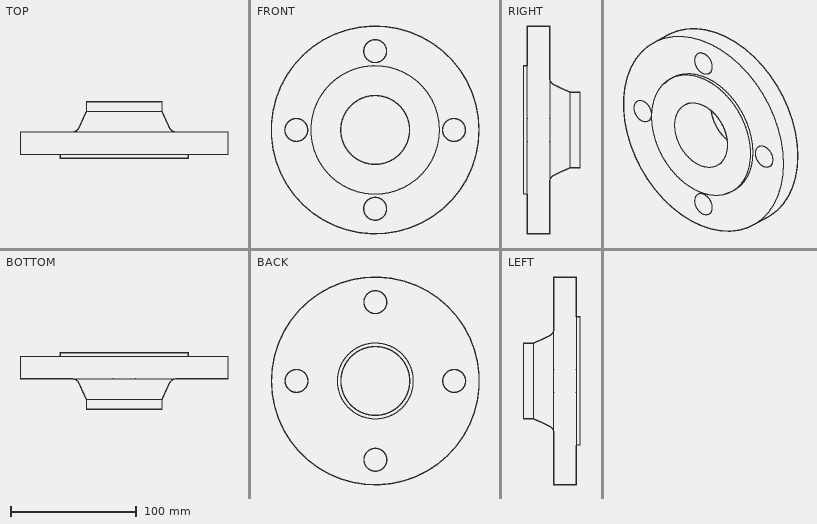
import cadquery as cq

flange_diameter = 165.0
flange_thickness = 18.0
total_length = 45.0
face_diameter = 102.0
face_height = 3.0
bore_diameter = 54.5
neck_diameter = 60.2
neck_length = 8.0
hub_base_diameter = 75.0
hub_fillet_radius = 6.0
bolt_hole_diameter = 18.0
bolt_circle_diameter = 125.0
bolt_count = 4

flange_back = face_height + flange_thickness
neck_start = total_length - neck_length


def make_body():
    """Revolve the solid half-section about the Y axis and fillet the hub root."""
    section = (
        cq.Workplane("XY")
        .moveTo(0, 0)
        .lineTo(face_diameter / 2, 0)
        .lineTo(face_diameter / 2, face_height)
        .lineTo(flange_diameter / 2, face_height)
        .lineTo(flange_diameter / 2, flange_back)
        .lineTo(hub_base_diameter / 2, flange_back)
        .lineTo(neck_diameter / 2, neck_start)
        .lineTo(neck_diameter / 2, total_length)
        .lineTo(0, total_length)
        .close()
    )
    body = section.revolve(360, (0, 0, 0), (0, 1, 0))
    hub_root = cq.selectors.RadiusNthSelector(1)
    return body.edges("%CIRCLE").edges(hub_root).fillet(hub_fillet_radius)


def make_holes():
    """Central bore and bolt holes, running through along Y."""
    through_plane = cq.Workplane("XZ")
    bore = through_plane.circle(bore_diameter / 2).extrude(-total_length)
    bolt_holes = (
        through_plane
        .polarArray(bolt_circle_diameter / 2, 0, 360, bolt_count)
        .circle(bolt_hole_diameter / 2)
        .extrude(-total_length)
    )
    return bore.union(bolt_holes)


result = make_body().cut(make_holes())